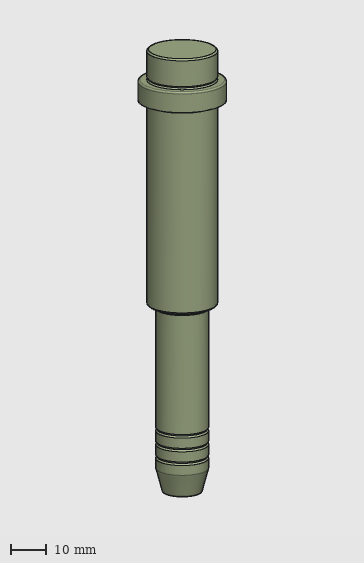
import cadquery as cq
import math

total_length = 130.0
body_radius = 20.0 / 2
flange_radius = 25.0 / 2
pin_radius = 15.0 / 2

head_height = 9.0
flange_height = 6.0
shoulder_z = 55.0
edge_chamfer = 0.5
flange_fillet = 0.5

relief_width = 0.9
relief_depth = 0.4
neck_width = 1.0
neck_depth = 0.5

groove_count = 3
groove_width = 1.0
groove_depth = 0.4
groove_pitch = 4.0
lowest_groove_z = 9.9
taper_length = 7.0
taper_angle = 15.0
tip_fillet = 0.5

flange_top_z = total_length - head_height
flange_bottom_z = flange_top_z - flange_height
tip_radius = pin_radius - taper_length * math.tan(math.radians(taper_angle))


def cylinder(radius, bottom_z, top_z):
    """Cylinder on the Z axis between two heights."""
    return cq.Workplane("XY").workplane(offset=bottom_z).circle(radius).extrude(top_z - bottom_z)


def ring_cut(outer_radius, depth, bottom_z, width):
    """Ring that cuts a square groove into a cylinder of the given radius."""
    return (
        cq.Workplane("XY").workplane(offset=bottom_z)
        .circle(outer_radius).circle(outer_radius - depth).extrude(width)
    )


def vee_cut(outer_radius, depth, bottom_z, width):
    """Triangular ring that cuts a groove with sloped walls meeting at mid-width."""
    profile = [
        (outer_radius, bottom_z),
        (outer_radius - depth, bottom_z + width / 2),
        (outer_radius, bottom_z + width),
    ]
    return cq.Workplane("XZ").polyline(profile).close().revolve(360, (0, 0), (0, 1))


tip = (
    cq.Workplane("XY").circle(tip_radius)
    .workplane(offset=taper_length).circle(pin_radius).loft(ruled=True)
    .faces("<Z").edges().fillet(tip_fillet)
)
pin = tip.union(cylinder(pin_radius, taper_length, shoulder_z))
pin = pin.cut(ring_cut(pin_radius, neck_depth, shoulder_z - neck_width, neck_width))
for index in range(groove_count):
    groove_z = lowest_groove_z + index * groove_pitch
    pin = pin.cut(vee_cut(pin_radius, groove_depth, groove_z, groove_width))

body = cylinder(body_radius, shoulder_z, total_length).faces("<Z or >Z").edges().chamfer(edge_chamfer)
for relief_z in (flange_top_z, flange_bottom_z - relief_width):
    body = body.cut(vee_cut(body_radius, relief_depth, relief_z, relief_width))

flange = cylinder(flange_radius, flange_bottom_z, flange_top_z).faces(">Z").edges().fillet(flange_fillet)

result = pin.union(body).union(flange)